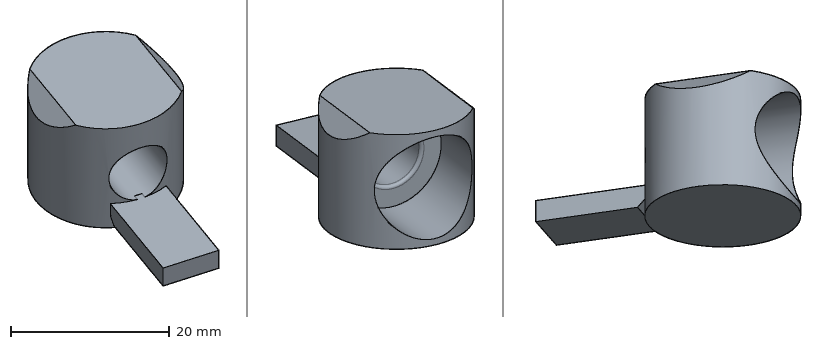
import cadquery as cq
import math

body_diameter = 19.7
body_height = 16.0
body_radius = body_diameter / 2
top_flat_width = 15.0
bevel = (body_diameter - top_flat_width) / 2

bore_diameter = 14.2
hole_diameter = 8.25
bore_floor_x = 1
hole_rounding = 0.47
bore_center_z = body_height / 2

overall_length = 33.5
bar_width = 7.9
bar_bottom_z = 1
bar_thickness = 2.9
bar_chamfer = 1
bar_end_x = overall_length - body_radius
bar_start_x = math.sqrt(body_radius**2 - (bar_width / 2) ** 2)


def make_body():
    """Cylinder with its top beveled along the two sides parallel to X."""
    cylinder = cq.Workplane("XY").circle(body_radius).extrude(body_height)
    beveled_block = (
        cq.Workplane("XY")
        .box(body_diameter, body_diameter, body_height, centered=(True, True, False))
        .faces(">Z")
        .edges("|X")
        .chamfer(bevel)
    )
    return cylinder.intersect(beveled_block)


def make_bar():
    """Bar with its lower inner corner cut at 45 degrees."""
    bar_top_z = bar_bottom_z + bar_thickness
    profile = [
        (bar_start_x, bar_top_z),
        (bar_start_x, bar_bottom_z + bar_chamfer),
        (bar_start_x + bar_chamfer, bar_bottom_z),
        (bar_end_x, bar_bottom_z),
        (bar_end_x, bar_top_z),
    ]
    return cq.Workplane("XZ").polyline(profile).close().extrude(bar_width / 2, both=True)


def make_bore():
    """Large blind bore, rounded step and smaller through hole, turned about X."""
    bore_radius = bore_diameter / 2
    hole_radius = hole_diameter / 2
    diagonal_gap = hole_rounding * (1 - math.sqrt(0.5))
    bore = (
        cq.Workplane("XZ")
        .moveTo(-body_radius, 0)
        .lineTo(-body_radius, bore_radius)
        .lineTo(bore_floor_x, bore_radius)
        .lineTo(bore_floor_x, hole_radius + hole_rounding)
        .threePointArc(
            (bore_floor_x + diagonal_gap, hole_radius + diagonal_gap),
            (bore_floor_x + hole_rounding, hole_radius),
        )
        .lineTo(body_radius, hole_radius)
        .lineTo(body_radius, 0)
        .close()
        .revolve(360, (0, 0, 0), (1, 0, 0))
    )
    return bore.translate((0, 0, bore_center_z))


result = make_body().cut(make_bore()).union(make_bar())